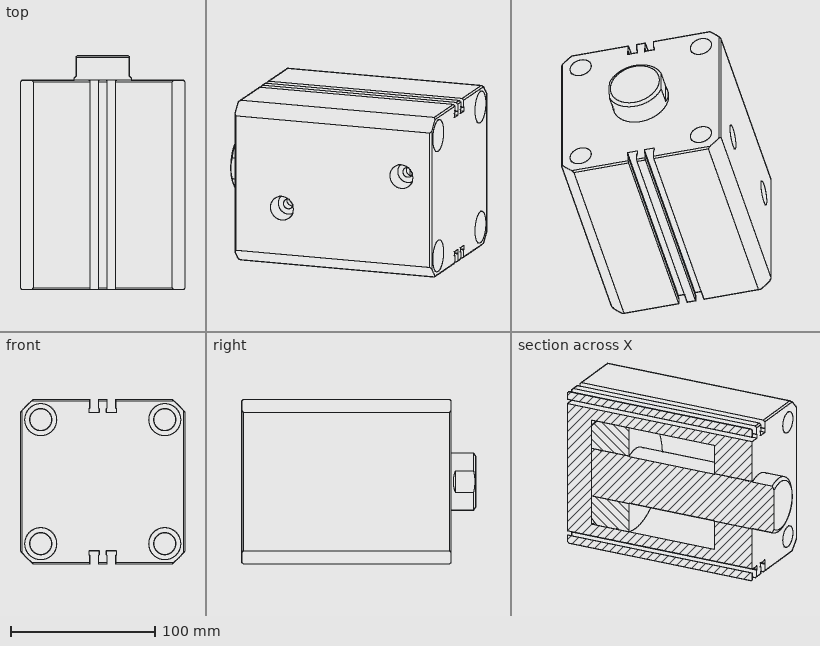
import cadquery as cq
import math

BODY_WIDTH = 114.0
BODY_LENGTH = 145.0
TOTAL_LENGTH = 162.0
CORNER_RADIUS = 74.5
EDGE_CHAMFER = 1.1

SLOT_OFFSET = 6.0
SLOT_OPENING = 6.0
SLOT_FLOOR_WIDTH = 7.0
SLOT_DEPTH = 9.0
SLOT_LIP_DEPTH = 6.0

MOUNT_OFFSET = 43.0
MOUNT_DIAMETER = 15.0
COUNTERBORE_DIAMETER = 22.2
COUNTERBORE_DEPTH = 22.7

PORT_HEIGHT = 15.0
BLIND_PORT_Y = 22.0
ROD_PORT_Y = 110.0
PORT_FLOOR_DIAMETER = 14.5
PORT_DEPTH = 13.0
PORT_MOUTH_DIAMETER = 16.8
PASSAGE_DIAMETER = 7.0

BORE_RADIUS = 40.0
BORE_START = 19.1
BORE_END = 115.0
PISTON_LENGTH = 29.2
PISTON_CHAMFER = 3.5
ROD_RADIUS = 20.0
ROD_END_CHAMFER_LENGTH = 1.5
ROD_END_CHAMFER_DEPTH = 2.5
FLAT_OFFSET = 18.5
FLAT_LENGTH = 14.1

HALF_WIDTH = BODY_WIDTH / 2


def cylinder_y(radius, start, end, x=0.0, z=0.0):
    """Round bar parallel to Y."""
    return cq.Workplane(cq.Solid.makeCylinder(
        radius, end - start, cq.Vector(x, start, z), cq.Vector(0, 1, 0)))


def body_block():
    """Square block with turned corners and chamfered straight end edges."""
    block = cq.Workplane("XY").box(BODY_WIDTH, BODY_LENGTH, BODY_WIDTH)
    block = block.faces("<Y or >Y").edges().chamfer(EDGE_CHAMFER)
    block = block.translate((0, BODY_LENGTH / 2, 0))
    return block.intersect(cylinder_y(CORNER_RADIUS, 0, BODY_LENGTH))


def t_slot(x, side):
    """T-slot along the whole body; side is +1 for the top face and -1 for the bottom face."""
    half_opening = SLOT_OPENING / 2
    half_floor = SLOT_FLOOR_WIDTH / 2
    lip_z = HALF_WIDTH - SLOT_LIP_DEPTH
    shoulder_z = lip_z - (half_floor - half_opening)
    floor_z = HALF_WIDTH - SLOT_DEPTH
    right_half = [
        (half_opening, HALF_WIDTH),
        (half_opening, lip_z),
        (half_floor, shoulder_z),
        (half_floor, floor_z),
    ]
    left_half = [(-across, z) for across, z in reversed(right_half)]
    outline = [(x + across, side * z) for across, z in right_half + left_half]
    return cq.Workplane("XZ").polyline(outline).close().extrude(-BODY_LENGTH)


def mounting_hole(x, z):
    through = cylinder_y(MOUNT_DIAMETER / 2, 0, BODY_LENGTH, x, z)
    return through.union(cylinder_y(COUNTERBORE_DIAMETER / 2, 0, COUNTERBORE_DEPTH, x, z))


def port(y, z):
    """Tapered port in the -X face with a narrow passage into the bore."""
    bore_wall = math.sqrt(BORE_RADIUS**2 - (abs(z) + PASSAGE_DIAMETER / 2) ** 2)
    profile = [
        (0, 0),
        (PORT_MOUTH_DIAMETER / 2, 0),
        (PORT_FLOOR_DIAMETER / 2, PORT_DEPTH),
        (PASSAGE_DIAMETER / 2, PORT_DEPTH),
        (PASSAGE_DIAMETER / 2, HALF_WIDTH - bore_wall),
        (0, HALF_WIDTH - bore_wall),
    ]
    port_plane = cq.Plane(origin=(-HALF_WIDTH, y, z), xDir=(0, 1, 0), normal=(0, 0, 1))
    outline = [(radius, -depth) for radius, depth in profile]
    return cq.Workplane(port_plane).polyline(outline).close().revolve(360, (0, 0), (0, 1))


def make_housing():
    housing = body_block()
    for side in (1, -1):
        for x in (-SLOT_OFFSET, SLOT_OFFSET):
            housing = housing.cut(t_slot(x, side))
    for x in (-MOUNT_OFFSET, MOUNT_OFFSET):
        for z in (-MOUNT_OFFSET, MOUNT_OFFSET):
            housing = housing.cut(mounting_hole(x, z))
    housing = housing.cut(cylinder_y(BORE_RADIUS, BORE_START, BORE_END))
    housing = housing.cut(cylinder_y(ROD_RADIUS, BORE_END, BODY_LENGTH))
    housing = housing.cut(port(BLIND_PORT_Y, PORT_HEIGHT))
    return housing.cut(port(ROD_PORT_Y, -PORT_HEIGHT))


def make_piston():
    """Piston resting on the blind end of the bore, chamfered there and bored for the rod."""
    piston = cylinder_y(BORE_RADIUS, BORE_START, BORE_START + PISTON_LENGTH)
    piston = piston.faces("<Y").edges().chamfer(PISTON_CHAMFER)
    return piston.cut(cylinder_y(ROD_RADIUS, BORE_START, BORE_START + PISTON_LENGTH))


def wrench_flat(side):
    """Cutter for one wrench flat, ending in a 45 degree run-out; side is the sign of X."""
    depth = ROD_RADIUS - FLAT_OFFSET
    flat_start = TOTAL_LENGTH - FLAT_LENGTH
    outline = [
        (side * FLAT_OFFSET, TOTAL_LENGTH),
        (side * FLAT_OFFSET, flat_start),
        (side * ROD_RADIUS, flat_start - depth),
        (side * ROD_RADIUS, TOTAL_LENGTH),
    ]
    return cq.Workplane("XY").polyline(outline).close().extrude(ROD_RADIUS, both=True)


def make_rod():
    profile = [
        (0, BORE_START),
        (ROD_RADIUS, BORE_START),
        (ROD_RADIUS, TOTAL_LENGTH - ROD_END_CHAMFER_LENGTH),
        (ROD_RADIUS - ROD_END_CHAMFER_DEPTH, TOTAL_LENGTH),
        (0, TOTAL_LENGTH),
    ]
    rod = cq.Workplane("XY").polyline(profile).close().revolve(360, (0, 0), (0, 1))
    for side in (1, -1):
        rod = rod.cut(wrench_flat(side))
    return rod


housing = make_housing()
piston = make_piston()
rod = make_rod()

result = cq.Compound.makeCompound([housing.val(), piston.val(), rod.val()])